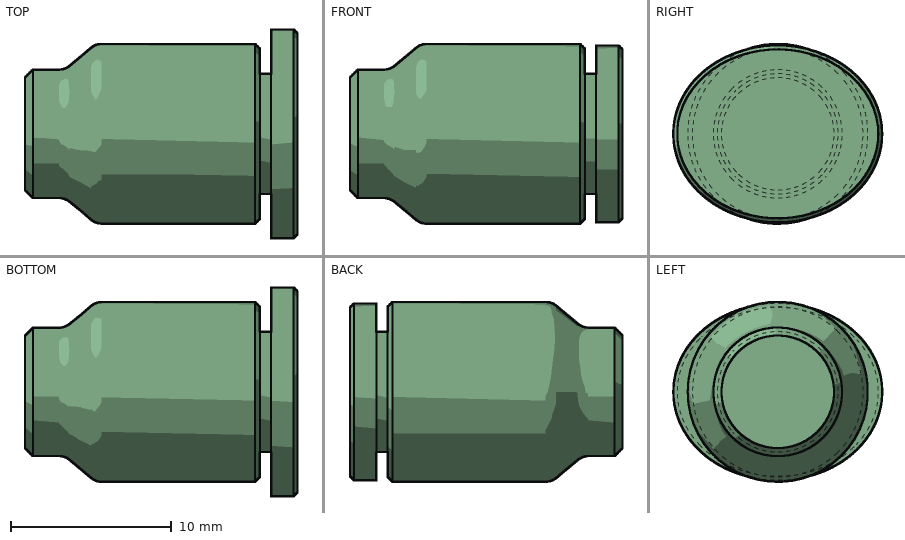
import cadquery as cq
import math

overall_length = 16.95
nose_length = 2.5
body_end = 14.6
flange_thickness = 1.65
flange_start = overall_length - flange_thickness

nose_radius = 4.0
body_radius = 5.6
neck_radius = 3.75

flange_width = 13.0
flange_height = 11.0

nose_chamfer = 0.5
body_chamfer = 0.3
flange_chamfer = 0.25
shoulder_angle = 40.0
shoulder_fillet = 1.0

slope = math.radians(shoulder_angle)
shoulder_end = nose_length + (body_radius - nose_radius) / math.tan(slope)

tangent_length = shoulder_fillet * math.tan(slope / 2)
slope_run = tangent_length * math.cos(slope)
slope_rise = tangent_length * math.sin(slope)
arc_mid_run = shoulder_fillet * math.sin(slope / 2)
arc_mid_rise = shoulder_fillet * (1 - math.cos(slope / 2))


def make_stem():
    """Nose, conical shoulder, body and neck turned about the X axis."""
    foot_start = nose_length - tangent_length
    crest_end = shoulder_end + tangent_length
    return (
        cq.Workplane("XY")
        .moveTo(0, 0)
        .lineTo(0, nose_radius - nose_chamfer)
        .lineTo(nose_chamfer, nose_radius)
        .lineTo(foot_start, nose_radius)
        .threePointArc(
            (foot_start + arc_mid_run, nose_radius + arc_mid_rise),
            (nose_length + slope_run, nose_radius + slope_rise),
        )
        .lineTo(shoulder_end - slope_run, body_radius - slope_rise)
        .threePointArc(
            (crest_end - arc_mid_run, body_radius - arc_mid_rise),
            (crest_end, body_radius),
        )
        .lineTo(body_end - body_chamfer, body_radius)
        .lineTo(body_end, body_radius - body_chamfer)
        .lineTo(body_end, neck_radius)
        .lineTo(flange_start, neck_radius)
        .lineTo(flange_start, 0)
        .close()
        .revolve(360, (0, 0, 0), (1, 0, 0))
    )


def make_flange():
    """Elliptical flange with a chamfered outer rim."""
    return (
        cq.Workplane("YZ", origin=(flange_start, 0, 0))
        .ellipse(flange_width / 2, flange_height / 2)
        .extrude(flange_thickness)
        .faces(">X")
        .edges()
        .chamfer(flange_chamfer)
    )


result = make_stem().union(make_flange())